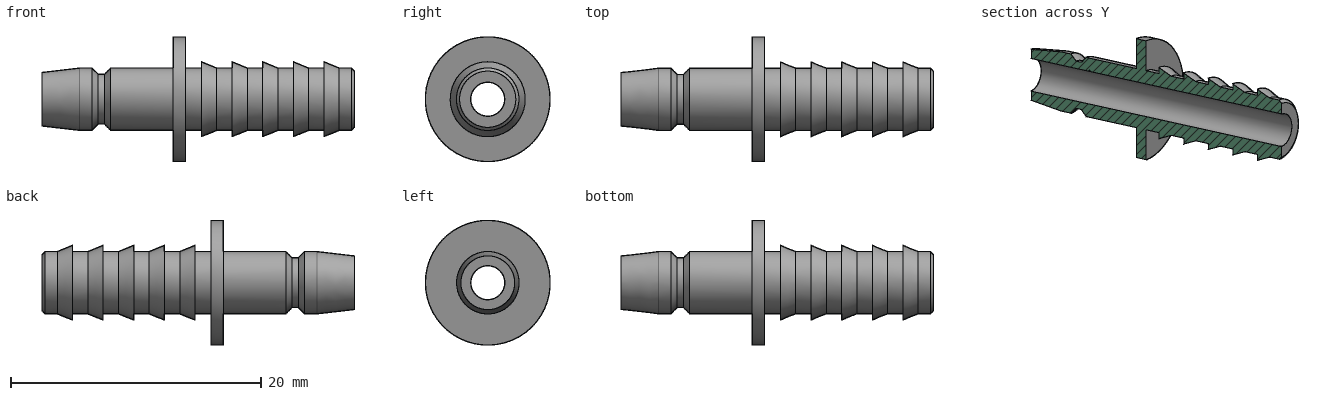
import cadquery as cq

length = 25.0
body_radius = 2.5
bore_radius = 1.35

nose_radius = 2.15
nose_length = 3.0

groove_start = 4.0
groove_depth = 0.5
groove_floor_width = 0.5

flange_radius = 5.0
flange_start = 10.5
flange_thickness = 1.0

barb_count = 5
barb_radius = 3.0
barb_length = 1.22
barb_pitch = 2 * barb_length
first_barb_start = 12.75

end_chamfer = 0.25


def revolve_about_x(points):
    """Revolve a closed outline of (x, radius) points about the X axis."""
    outline = cq.Workplane("XZ").polyline(points).close()
    return outline.revolve(360, (0, 0, 0), (1, 0, 0))


def make_body():
    """Spigot with a tapered nose, a locking groove and a chamfered hose end."""
    groove_floor_start = groove_start + groove_depth
    groove_floor_end = groove_floor_start + groove_floor_width
    groove_end = groove_floor_end + groove_depth
    groove_radius = body_radius - groove_depth
    return revolve_about_x([
        (0, 0),
        (0, nose_radius),
        (nose_length, body_radius),
        (groove_start, body_radius),
        (groove_floor_start, groove_radius),
        (groove_floor_end, groove_radius),
        (groove_end, body_radius),
        (length - end_chamfer, body_radius),
        (length, body_radius - end_chamfer),
        (length, 0),
    ])


def make_flange():
    flange_plane = cq.Workplane("YZ", origin=(flange_start, 0, 0))
    return flange_plane.circle(flange_radius).extrude(flange_thickness)


def make_barb(start):
    """Conical barb with its sharp edge facing the flange."""
    end = start + barb_length
    return revolve_about_x([
        (start, 0),
        (start, barb_radius),
        (end, body_radius),
        (end, 0),
    ])


result = make_body().union(make_flange())
for index in range(barb_count):
    result = result.union(make_barb(first_barb_start + index * barb_pitch))

bore = cq.Workplane("YZ").circle(bore_radius).extrude(length)
result = result.cut(bore)